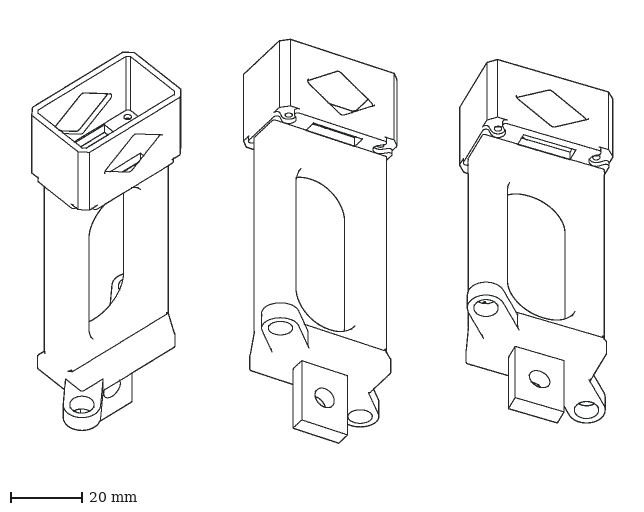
import cadquery as cq
import math

total_height = 120.0
tab_height = 20.0
flange_thickness = 5.0
foot_height = 5.0
socket_height = 24.0
flange_top = tab_height + flange_thickness
foot_top = flange_top + foot_height
socket_bottom = total_height - socket_height

tab_thickness = 4.9
tab_width = 15.0
tab_hole_diameter = 6.2
tab_hole_z = tab_height / 2

column_size_x = 11.4
column_size_y = 37.3
flange_size_x = 19.5
flange_size_y = 35.3
body_edge_radius = 0.7

ears_span_x = 37.7
ears_span_y = 52.7
ear_radius = 5.3
ear_hole_diameter = 6.8
ear_x = ears_span_x / 2 - ear_radius
ear_y = ears_span_y / 2 - ear_radius
ear_arm_length = 16.8
ear_arm_angle = 135

window_width = 21.4
window_bottom = 31.9
window_top = 88.0
window_corner_radius = 10.3
window_rim_radius = 1.5

socket_size_x = 24.4
socket_size_y = 38.5
socket_corner_chamfer = 2.3
socket_wall = 1.9
socket_floor = 3.0
cavity_corner_chamfer = 0.8

diamond_size_y = 24.0
diamond_size_z = 16.1
diamond_corner_radius = 1.2
diamond_rim_radius = 0.5
diamond_z = 108.1

screw_hole_diameter = 2.0
screw_x = 7.9
screw_y = 15.0
screw_relief_width = 4.2
screw_relief_height = 1.5
screw_relief_top = socket_bottom + screw_relief_height
screw_relief_length = 7.2
screw_relief_mouth_radius = 1.0
floor_slot_inner_x = 5.5
floor_slot_outer_x = 9.8
floor_slot_size_y = 16.0


def block(size_x, size_y, bottom, height):
    """Box centred on the Z axis with its underside at the given height."""
    return cq.Workplane("XY", origin=(0, 0, bottom)).rect(size_x, size_y).extrude(height)


def cut_with_round_rims(wall, opening, rim_radius):
    """Cut an opening that runs along X and round its rims on the outermost X faces."""
    box = opening.val().BoundingBox()
    margin = 0.1
    opening_edges = cq.selectors.BoxSelector(
        (box.xmin, box.ymin - margin, box.zmin - margin),
        (box.xmax, box.ymax + margin, box.zmax + margin),
    )
    return wall.cut(opening).faces("<X or >X").edges(opening_edges).fillet(rim_radius)


def flared_profile(plane, column_size, flange_size):
    """Silhouette of column, foot and flange, extruded to both sides of the plane."""
    half_column = column_size / 2
    half_flange = flange_size / 2
    right_side = [
        (half_flange, tab_height),
        (half_flange, flange_top),
        (half_column, foot_top),
        (half_column, socket_bottom),
    ]
    left_side = [(-across, z) for across, z in reversed(right_side)]
    return cq.Workplane(plane).polyline(right_side + left_side).close().extrude(column_size_y, both=True)


def make_body():
    """Column, foot and flange as the crossing of two silhouettes."""
    body = flared_profile("XZ", column_size_x, flange_size_x).intersect(
        flared_profile("YZ", column_size_y, flange_size_y)
    )
    return body.edges("not (>Z or (|Y and >>Z[-3]))").fillet(body_edge_radius)


def make_window():
    """Bar along X that opens the column window."""
    return (
        cq.Workplane("YZ", origin=(0, 0, (window_top + window_bottom) / 2))
        .rect(window_width, window_top - window_bottom)
        .extrude(column_size_x, both=True)
        .edges("|X")
        .fillet(window_corner_radius)
    )


def make_tab():
    tab = block(tab_thickness, tab_width, 0, flange_top)
    hole = (
        cq.Workplane("YZ", origin=(0, 0, tab_hole_z))
        .circle(tab_hole_diameter / 2)
        .extrude(tab_thickness, both=True)
    )
    return tab.cut(hole)


def make_ear(side):
    """Solid ear pointing away from the axis; side is +1 for (+X, -Y) and -1 for (-X, +Y)."""
    pad_center = cq.Workplane("XY", origin=(side * ear_x, -side * ear_y, tab_height))
    pad = pad_center.circle(ear_radius).extrude(flange_thickness)
    arm = (
        pad_center.transformed(rotate=(0, 0, ear_arm_angle))
        .center(side * ear_arm_length / 2, 0)
        .rect(ear_arm_length, 2 * ear_radius)
        .extrude(flange_thickness)
    )
    return pad.union(arm)


def make_ear_holes():
    return (
        cq.Workplane("XY", origin=(0, 0, tab_height))
        .pushPoints([(ear_x, -ear_y), (-ear_x, ear_y)])
        .circle(ear_hole_diameter / 2)
        .extrude(flange_thickness)
    )


def make_diamond():
    """Bar along X that opens the diamond windows in both long socket walls."""
    half_y = diamond_size_y / 2
    half_z = diamond_size_z / 2
    return (
        cq.Workplane("YZ", origin=(0, 0, diamond_z))
        .polyline([(half_y, 0), (0, half_z), (-half_y, 0), (0, -half_z)])
        .close()
        .extrude(socket_size_x, both=True)
        .edges("|X")
        .fillet(diamond_corner_radius)
    )


def socket_block(bottom, top):
    """Piece of the solid socket outline between two heights."""
    return (
        block(socket_size_x, socket_size_y, bottom, top - bottom)
        .edges("|Z")
        .chamfer(socket_corner_chamfer)
    )


def make_socket_foot():
    """Lowest layer of the socket, open from each screw hole diagonally out to the corner."""
    foot = socket_block(socket_bottom, screw_relief_top)
    for side_x in (-1, 1):
        for side_y in (-1, 1):
            screw_center = cq.Workplane("XY", origin=(side_x * screw_x, side_y * screw_y, socket_bottom))
            round_end = screw_center.circle(screw_relief_width / 2).extrude(screw_relief_height)
            channel = (
                screw_center.transformed(rotate=(0, 0, math.degrees(math.atan2(side_y, side_x))))
                .center(screw_relief_length / 2, 0)
                .rect(screw_relief_length, screw_relief_width)
                .extrude(screw_relief_height)
            )
            foot = foot.cut(round_end).cut(channel)
    mouth_edges = foot.faces("<X or >X or <Y or >Y").edges("|Z")
    return mouth_edges.fillet(screw_relief_mouth_radius)


def make_socket():
    cavity = (
        block(
            socket_size_x - 2 * socket_wall,
            socket_size_y - 2 * socket_wall,
            socket_bottom + socket_floor,
            socket_height - socket_floor,
        )
        .edges("|Z")
        .chamfer(cavity_corner_chamfer)
    )
    shell = socket_block(screw_relief_top, total_height).cut(cavity)
    shell = cut_with_round_rims(shell, make_diamond(), diamond_rim_radius)
    return shell.union(make_socket_foot()).cut(make_floor_openings())


def make_floor_openings():
    """Four screw holes and a slot beside each long wall, all through the socket floor."""
    underside = cq.Workplane("XY", origin=(0, 0, socket_bottom))
    holes = (
        underside.rect(2 * screw_x, 2 * screw_y, forConstruction=True)
        .vertices()
        .circle(screw_hole_diameter / 2)
        .extrude(socket_floor)
    )
    slot_center_x = (floor_slot_inner_x + floor_slot_outer_x) / 2
    slots = (
        underside.pushPoints([(slot_center_x, 0), (-slot_center_x, 0)])
        .rect(floor_slot_outer_x - floor_slot_inner_x, floor_slot_size_y)
        .extrude(socket_floor)
    )
    return holes.union(slots)


column = block(column_size_x, column_size_y, foot_top, socket_bottom - foot_top)
window_void = column.cut(cut_with_round_rims(column, make_window(), window_rim_radius))
body = make_body().cut(window_void)
ears = make_ear(1).union(make_ear(-1))
lower_part = body.union(ears).union(make_tab()).cut(make_ear_holes())
result = lower_part.union(make_socket())